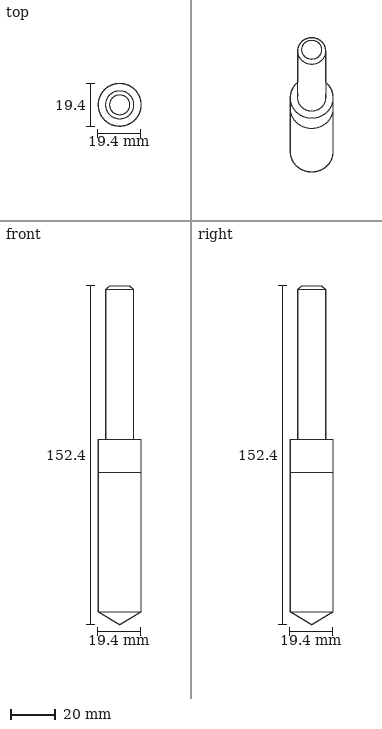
import cadquery as cq
import math

total_length = 152.4
body_diameter = 19.4
shank_diameter = 12.6
point_angle = 118.0
shank_length = 69.0
collar_length = 14.8
chamfer_width = 1.8
chamfer_height = 1.7

body_radius = body_diameter / 2
shank_radius = shank_diameter / 2
top_z = total_length / 2
tip_z = -total_length / 2
shoulder_z = top_z - shank_length
joint_z = shoulder_z - collar_length
point_height = body_radius / math.tan(math.radians(point_angle / 2))


def revolve_profile(points):
    """Turn a closed (radius, z) half-profile about the Z axis."""
    return (
        cq.Workplane("XZ")
        .polyline(points)
        .close()
        .revolve(360, (0, 0), (0, 1))
    )


def make_shank():
    """Chamfered shank with the collar that sits on the cutter."""
    return revolve_profile([
        (0, joint_z),
        (body_radius, joint_z),
        (body_radius, shoulder_z),
        (shank_radius, shoulder_z),
        (shank_radius, top_z - chamfer_height),
        (shank_radius - chamfer_width, top_z),
        (0, top_z),
    ])


def make_cutter():
    """Plain cylinder ending in a conical point."""
    return revolve_profile([
        (0, tip_z),
        (body_radius, tip_z + point_height),
        (body_radius, joint_z),
        (0, joint_z),
    ])


shank = make_shank()
cutter = make_cutter()

result = cq.Compound.makeCompound([shank.val(), cutter.val()])